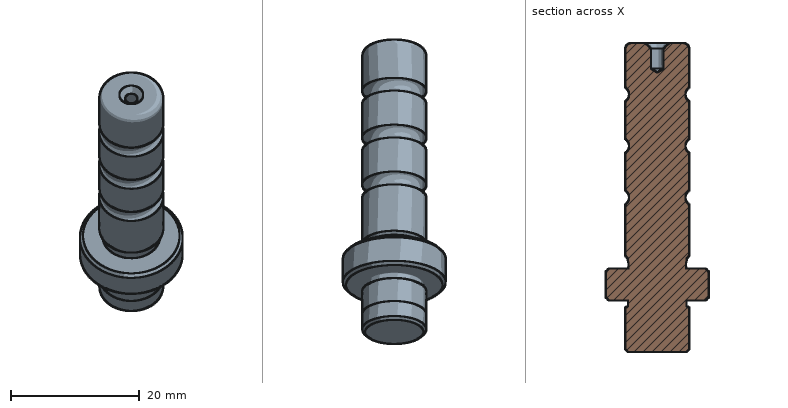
import cadquery as cq
import math

pin_length = 48.0
pin_radius = 5.0
tip_fillet = 1.0

lead_length = 3.0
lead_radius = 4.98
end_chamfer = 0.45
shank_top = 6.9
shank_chamfer_height = 0.25

collar_bottom = 8.0
collar_height = 5.0
collar_radius = 8.0
collar_chamfer = 0.5
collar_top = collar_bottom + collar_height

lower_neck_radius = 4.55
lower_neck_fillet = 0.1
upper_neck_top_radius = 4.6
upper_neck_bottom_radius = 4.5
upper_body_bottom = 15.0
upper_body_chamfer_height = 0.5

groove_count = 3
groove_pitch = 8.0
groove_floor_radius = 4.4
groove_arc_radius = 1.3

countersink_radius = 1.85
hole_radius = 0.95
countersink_depth = countersink_radius - hole_radius
hole_depth = 4.0
drill_tip_angle = 118.0


def make_body():
    """Revolve the stepped outline of the pin about Z."""
    outline = (
        cq.Workplane("XZ")
        .lineTo(lead_radius - end_chamfer, 0)
        .lineTo(lead_radius, end_chamfer)
        .lineTo(lead_radius, lead_length)
        .lineTo(pin_radius, lead_length)
        .lineTo(pin_radius, shank_top)
        .lineTo(lower_neck_radius, shank_top + shank_chamfer_height)
        .lineTo(lower_neck_radius, collar_bottom - lower_neck_fillet)
        .radiusArc((lower_neck_radius + lower_neck_fillet, collar_bottom), lower_neck_fillet)
        .lineTo(collar_radius - collar_chamfer, collar_bottom)
        .lineTo(collar_radius, collar_bottom + collar_chamfer)
        .lineTo(collar_radius, collar_top - collar_chamfer)
        .lineTo(collar_radius - collar_chamfer, collar_top)
        .lineTo(upper_neck_bottom_radius, collar_top)
        .lineTo(upper_neck_top_radius, upper_body_bottom - upper_body_chamfer_height)
        .lineTo(pin_radius, upper_body_bottom)
        .lineTo(pin_radius, pin_length - tip_fillet)
        .radiusArc((pin_radius - tip_fillet, pin_length), -tip_fillet)
        .lineTo(0, pin_length)
        .close()
    )
    return outline.revolve(360, (0, 0, 0), (0, 1, 0))


def make_groove(height):
    """Ring of half-round section that cuts one groove centred at the given height."""
    centre_radius = groove_floor_radius + groove_arc_radius
    section = (
        cq.Workplane("XZ")
        .moveTo(centre_radius, height - groove_arc_radius)
        .radiusArc((groove_floor_radius, height), groove_arc_radius)
        .radiusArc((centre_radius, height + groove_arc_radius), groove_arc_radius)
        .close()
    )
    return section.revolve(360, (0, 0, 0), (0, 1, 0))


def make_centre_hole():
    """Countersunk drilled hole with a conical bottom, entering from the tip."""
    cone_height = hole_radius / math.tan(math.radians(drill_tip_angle / 2))
    outline = (
        cq.Workplane("XZ")
        .moveTo(0, pin_length)
        .lineTo(countersink_radius, pin_length)
        .lineTo(hole_radius, pin_length - countersink_depth)
        .lineTo(hole_radius, pin_length - hole_depth)
        .lineTo(0, pin_length - hole_depth - cone_height)
        .close()
    )
    return outline.revolve(360, (0, 0, 0), (0, 1, 0))


result = make_body()
for index in range(groove_count):
    groove_height = pin_length - (index + 1) * groove_pitch
    result = result.cut(make_groove(groove_height))
result = result.cut(make_centre_hole())